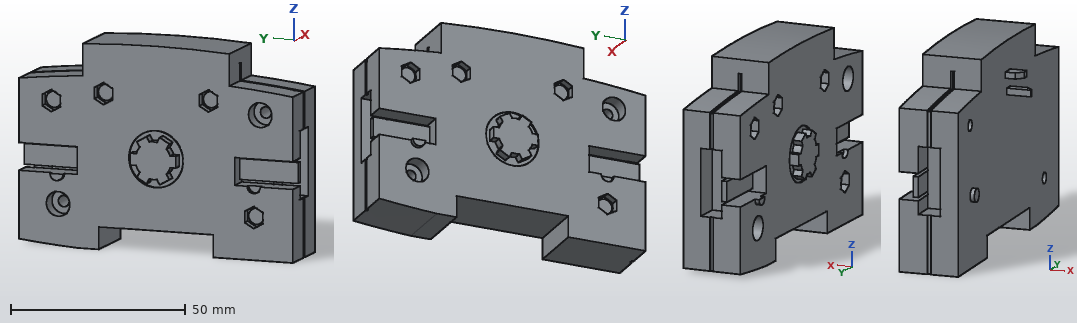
import cadquery as cq
import math

THICKNESS = 18.0
HALF_LENGTH = 42.0
BOTTOM_Z = -27.5
CROWN_Z = 33.0
CROWN_RADIUS = 337.0
NECK_HALF_LENGTH = 22.5
SHOULDER_DROP = 9.35
RAIL_HALF_LENGTH = 17.6
RAIL_TOP_Z = -20.9
SLOPED_FOOT_START_Y = 24.0
SLOPED_FOOT_END_Z = -26.0

GROOVE_X = 8.6
GROOVE_WIDTH = 1.05
GROOVE_DEPTH = 0.5
NECK_GROOVE_TOP_Z = 28.0
NECK_GROOVE_DEPTH = 1.5

SLOT_START_Y = 24.15
SLOT_TOP_Z = 2.1
SLOT_BOTTOM_Z = -6.0
SLOT_DEPTH = 5.85
BAR_HEIGHT = 1.6
BAR_EDGE_GAP = 1.0
POCKET_WIDTH = 6.7
POCKET_HALF_HEIGHT = 10.05
POCKET_DEPTH = 8.0

COUPLING_HEIGHT = 2.3
COUPLING_CORE_RADIUS = 5.5
COUPLING_TOOTH_REACH = 7.0
COUPLING_TOOTH_WIDTH = 3.4
COUPLING_TOOTH_COUNT = 6
COUPLING_RECESS_RADIUS = 8.3
COUPLING_RECESS_DEPTH = 0.5

PIN_RADIUS = 2.0
PIN_HEIGHT = 1.3
PIN_Y = 30.0

SCREW_POSITIONS = [(32.1, 15.0), (16.1, 18.1), (-16.1, 18.1), (-30.0, -15.0)]
SCREW_ACROSS_FLATS = 5.6
SCREW_RECESS_DEPTH = 2.7
SCREW_TOP_DIAMETER = 4.7
SCREW_CHAMFER_HEIGHT = 0.5

BORE_POSITIONS = [(-32.0, 15.0), (30.0, -15.0)]
BORE_DIAMETER = 3.3
COUNTERBORE_DIAMETER = 7.2
COUNTERBORE_DEPTH = 4.6

HOOK_BACK_Y = 1.5
UPPER_HOOK_FRONT_Y = -2.6
UPPER_HOOK_REACH = 5.1
UPPER_HOOK_CHAMFER = 2.0
UPPER_HOOK_BOTTOM_Z = 22.1
UPPER_HOOK_TOP_Z = 23.9
LOWER_HOOK_FRONT_Y = -1.3
LOWER_HOOK_REACH = 7.3
LOWER_HOOK_CHAMFER = 2.0
LOWER_HOOK_BOTTOM_Z = 16.9
LOWER_HOOK_TOP_Z = 18.85

OVERLAP = 0.5


def box(x_range, y_range, z_range):
    """Axis-aligned box between the given limits."""
    sizes = [high - low for low, high in (x_range, y_range, z_range)]
    corner = (x_range[0], y_range[0], z_range[0])
    return cq.Workplane("XY").box(*sizes, centered=False).translate(corner)


def cylinder(radius, y, z, x_start, x_end):
    """Cylinder along X."""
    plane = cq.Workplane("YZ", origin=(x_start, 0, 0))
    return plane.center(y, z).circle(radius).extrude(x_end - x_start)


def arc_z(y, drop=0.0):
    """Height of the top arc at y, or of the concentric arc that lies `drop` below it."""
    return CROWN_Z - CROWN_RADIUS + math.sqrt((CROWN_RADIUS - drop) ** 2 - y ** 2)


def housing():
    neck = NECK_HALF_LENGTH
    end = HALF_LENGTH
    middle = (neck + end) / 2
    shoulder_low = (end, arc_z(end, SHOULDER_DROP))
    shoulder_mid = (middle, arc_z(middle, SHOULDER_DROP))
    shoulder_high = (neck, arc_z(neck, SHOULDER_DROP))

    foot_run = end - SLOPED_FOOT_START_Y
    foot_sagitta = foot_run ** 2 / (8 * CROWN_RADIUS)
    foot_mid = (
        (end + SLOPED_FOOT_START_Y) / 2,
        (SLOPED_FOOT_END_Z + BOTTOM_Z) / 2 - foot_sagitta,
    )

    outline = (
        cq.Workplane("YZ")
        .moveTo(-end, BOTTOM_Z)
        .lineTo(-end, shoulder_low[1])
        .threePointArc((-shoulder_mid[0], shoulder_mid[1]), (-neck, shoulder_high[1]))
        .lineTo(-neck, arc_z(neck))
        .threePointArc((0, CROWN_Z), (neck, arc_z(neck)))
        .lineTo(*shoulder_high)
        .threePointArc(shoulder_mid, shoulder_low)
        .lineTo(end, SLOPED_FOOT_END_Z)
        .threePointArc(foot_mid, (SLOPED_FOOT_START_Y, BOTTOM_Z))
        .lineTo(RAIL_HALF_LENGTH, BOTTOM_Z)
        .lineTo(RAIL_HALF_LENGTH, RAIL_TOP_Z)
        .lineTo(-RAIL_HALF_LENGTH, RAIL_TOP_Z)
        .lineTo(-RAIL_HALF_LENGTH, BOTTOM_Z)
        .close()
    )
    return outline.extrude(THICKNESS)


def mirrored_pair(piece):
    """The piece together with its mirror image across the middle of the length."""
    return piece.union(piece.mirror("XZ"))


def parting_groove():
    x_range = (GROOVE_X, GROOVE_X + GROOVE_WIDTH)
    inner_end = HALF_LENGTH - GROOVE_DEPTH
    end_strip = box(x_range, (inner_end, HALF_LENGTH), (BOTTOM_Z, CROWN_Z))
    neck_strip = box(
        x_range,
        (NECK_HALF_LENGTH - NECK_GROOVE_DEPTH, NECK_HALF_LENGTH),
        (arc_z(NECK_HALF_LENGTH, SHOULDER_DROP + GROOVE_DEPTH), NECK_GROOVE_TOP_Z),
    )
    core_radius = CROWN_RADIUS - SHOULDER_DROP - GROOVE_DEPTH
    core = cylinder(core_radius, 0, CROWN_Z - CROWN_RADIUS, *x_range)
    above_shoulder = box(x_range, (NECK_HALF_LENGTH, HALF_LENGTH), (0, CROWN_Z)).cut(core)
    return mirrored_pair(end_strip.union(above_shoulder).union(neck_strip))


def end_openings():
    """Side slots with their raised bars left standing, plus the end pockets."""
    slot = box((0, SLOT_DEPTH), (SLOT_START_Y, HALF_LENGTH), (SLOT_BOTTOM_Z, SLOT_TOP_Z))
    bar = box(
        (SLOT_DEPTH - BAR_HEIGHT, SLOT_DEPTH),
        (SLOT_START_Y, HALF_LENGTH),
        (SLOT_BOTTOM_Z + BAR_EDGE_GAP, SLOT_TOP_Z - BAR_EDGE_GAP),
    )
    pocket = box(
        (SLOT_DEPTH, SLOT_DEPTH + POCKET_WIDTH),
        (HALF_LENGTH - POCKET_DEPTH, HALF_LENGTH),
        (-POCKET_HALF_HEIGHT, POCKET_HALF_HEIGHT),
    )
    return mirrored_pair(slot.cut(bar).union(pocket))


def coupling():
    root_x = COUPLING_RECESS_DEPTH + OVERLAP
    star = cylinder(COUPLING_CORE_RADIUS, 0, 0, -COUPLING_HEIGHT, root_x)
    tooth = (
        cq.Workplane("YZ", origin=(-COUPLING_HEIGHT, 0, 0))
        .center(COUPLING_TOOTH_REACH / 2, 0)
        .rect(COUPLING_TOOTH_REACH, COUPLING_TOOTH_WIDTH)
        .extrude(COUPLING_HEIGHT + root_x)
    )
    for index in range(COUPLING_TOOTH_COUNT):
        angle = index * 360 / COUPLING_TOOTH_COUNT
        star = star.union(tooth.rotate((0, 0, 0), (1, 0, 0), angle))
    return star


def coupling_recess():
    return cylinder(COUPLING_RECESS_RADIUS, 0, 0, 0, COUPLING_RECESS_DEPTH)


def screw_recess(y, z):
    """Hexagonal recess around a screw head whose top edge has a conical chamfer."""
    corner_radius = SCREW_ACROSS_FLATS / math.sqrt(3)
    hexagon = (
        cq.Workplane("YZ")
        .polygon(6, 2 * corner_radius)
        .extrude(SCREW_RECESS_DEPTH)
        .rotate((0, 0, 0), (1, 0, 0), 30)
        .translate((0, y, z))
    )
    head = (
        cq.Workplane("YZ", origin=(SCREW_RECESS_DEPTH - SCREW_CHAMFER_HEIGHT, y, z))
        .circle(SCREW_TOP_DIAMETER / 2)
        .workplane(offset=SCREW_CHAMFER_HEIGHT)
        .circle(corner_radius)
        .loft()
    )
    return hexagon.cut(head)


def counterbored_hole(y, z):
    hole = cylinder(BORE_DIAMETER / 2, y, z, 0, THICKNESS)
    return hole.union(cylinder(COUNTERBORE_DIAMETER / 2, y, z, 0, COUNTERBORE_DEPTH))


def hook(outline, bottom_z, top_z):
    """Flat hook on the right face, from its outline in X and Y."""
    plane = cq.Workplane("XY", origin=(THICKNESS, 0, bottom_z))
    return plane.polyline(outline).close().extrude(top_z - bottom_z)


def upper_hook():
    outline = [
        (-OVERLAP, HOOK_BACK_Y),
        (UPPER_HOOK_REACH, HOOK_BACK_Y),
        (UPPER_HOOK_REACH, UPPER_HOOK_FRONT_Y + UPPER_HOOK_CHAMFER),
        (UPPER_HOOK_REACH - UPPER_HOOK_CHAMFER, UPPER_HOOK_FRONT_Y),
        (-OVERLAP, UPPER_HOOK_FRONT_Y),
    ]
    return hook(outline, UPPER_HOOK_BOTTOM_Z, UPPER_HOOK_TOP_Z)


def lower_hook():
    outline = [
        (-OVERLAP, HOOK_BACK_Y),
        (LOWER_HOOK_REACH - LOWER_HOOK_CHAMFER, HOOK_BACK_Y),
        (LOWER_HOOK_REACH, HOOK_BACK_Y - LOWER_HOOK_CHAMFER),
        (LOWER_HOOK_REACH, LOWER_HOOK_FRONT_Y),
        (-OVERLAP, LOWER_HOOK_FRONT_Y),
    ]
    return hook(outline, LOWER_HOOK_BOTTOM_Z, LOWER_HOOK_TOP_Z)


def left_half_pin():
    """Pin on the left face, limited to the half below the slot."""
    pin = cylinder(PIN_RADIUS, PIN_Y, SLOT_BOTTOM_Z, -PIN_HEIGHT, OVERLAP)
    upper_half = box(
        (-PIN_HEIGHT, OVERLAP),
        (PIN_Y - PIN_RADIUS, PIN_Y + PIN_RADIUS),
        (SLOT_BOTTOM_Z, SLOT_BOTTOM_Z + PIN_RADIUS),
    )
    return pin.cut(upper_half)


def right_pin():
    x_range = (THICKNESS - OVERLAP, THICKNESS + PIN_HEIGHT)
    return cylinder(PIN_RADIUS, -PIN_Y, SLOT_BOTTOM_Z, *x_range)


def left_pin_socket():
    return cylinder(PIN_RADIUS, -PIN_Y, SLOT_BOTTOM_Z, 0, PIN_HEIGHT)


body = housing().cut(parting_groove()).cut(end_openings()).cut(left_pin_socket())
body = body.cut(coupling_recess())
for screw_y, screw_z in SCREW_POSITIONS:
    body = body.cut(screw_recess(screw_y, screw_z))
for bore_y, bore_z in BORE_POSITIONS:
    body = body.cut(counterbored_hole(bore_y, bore_z))

for piece in (coupling(), upper_hook(), lower_hook(), left_half_pin(), right_pin()):
    body = body.union(piece)

result = body